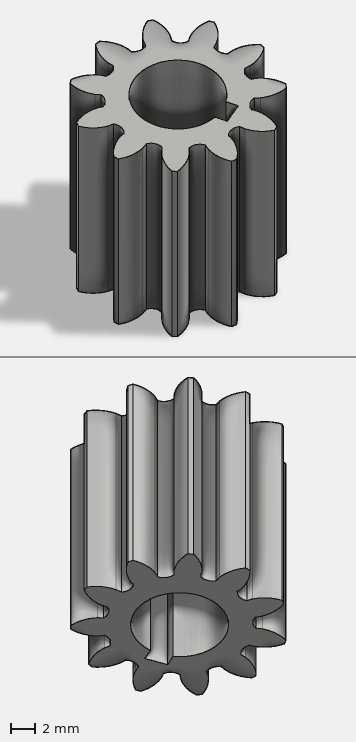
import cadquery as cq
import math

tooth_count = 11
face_width = 19.05
outer_radius = 8.92
root_radius = 6.0

tip_half_width = 0.23
flank_mid = (7.81, 0.91)
flank_start = (6.69, 1.15)
flank_base = (6.17, 1.1)

bore_radius = 4.0
keyway_width = 2.0
keyway_floor = 5.0

tooth_pitch = 2 * math.pi / tooth_count


def turned(point, angle):
    """Rotate a point about the gear axis."""
    x, y = point
    return (
        x * math.cos(angle) - y * math.sin(angle),
        x * math.sin(angle) + y * math.cos(angle),
    )


def mirrored(point):
    """Reflect a point across the tooth centreline."""
    return (point[0], -point[1])


def gear_blank():
    """Extruded outline: flanks straight at the base then bulged, arc tips and rounded root gaps."""
    tip_corner = (math.sqrt(outer_radius**2 - tip_half_width**2), tip_half_width)
    tip_centre = (outer_radius, 0)
    root_centre = (root_radius, 0)
    outline = cq.Workplane("XY").moveTo(*mirrored(flank_base))
    for tooth in range(tooth_count):
        angle = tooth * tooth_pitch
        outline = outline.lineTo(*turned(mirrored(flank_start), angle))
        outline = outline.threePointArc(
            turned(mirrored(flank_mid), angle), turned(mirrored(tip_corner), angle)
        )
        outline = outline.threePointArc(turned(tip_centre, angle), turned(tip_corner, angle))
        outline = outline.threePointArc(turned(flank_mid, angle), turned(flank_start, angle))
        outline = outline.lineTo(*turned(flank_base, angle))
        outline = outline.threePointArc(
            turned(root_centre, angle + tooth_pitch / 2),
            turned(mirrored(flank_base), angle + tooth_pitch),
        )
    return outline.close().extrude(face_width)


def keyed_bore():
    """Through bore with a rectangular keyway on the +X side."""
    bore = cq.Workplane("XY").circle(bore_radius).extrude(face_width)
    keyway = cq.Workplane("XY").box(
        keyway_floor, keyway_width, face_width, centered=(False, True, False)
    )
    return bore.union(keyway)


result = gear_blank().cut(keyed_bore())